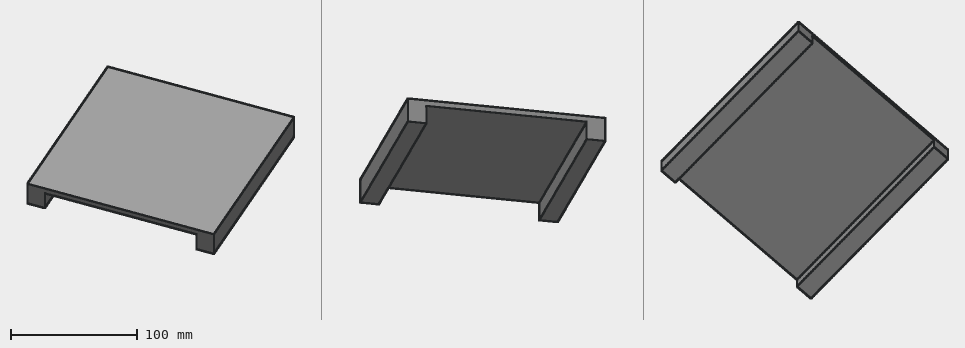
import cadquery as cq

side = 160.0
height = 20.0
plate_thickness = 5.0
leg_width = 15.0

block = cq.Workplane("XY").box(side, side, height, centered=(True, True, False))

channel_width = side - 2 * leg_width
channel_depth = height - plate_thickness
channel = cq.Workplane("XY").box(
    channel_width, side, channel_depth, centered=(True, True, False)
)

result = block.cut(channel)